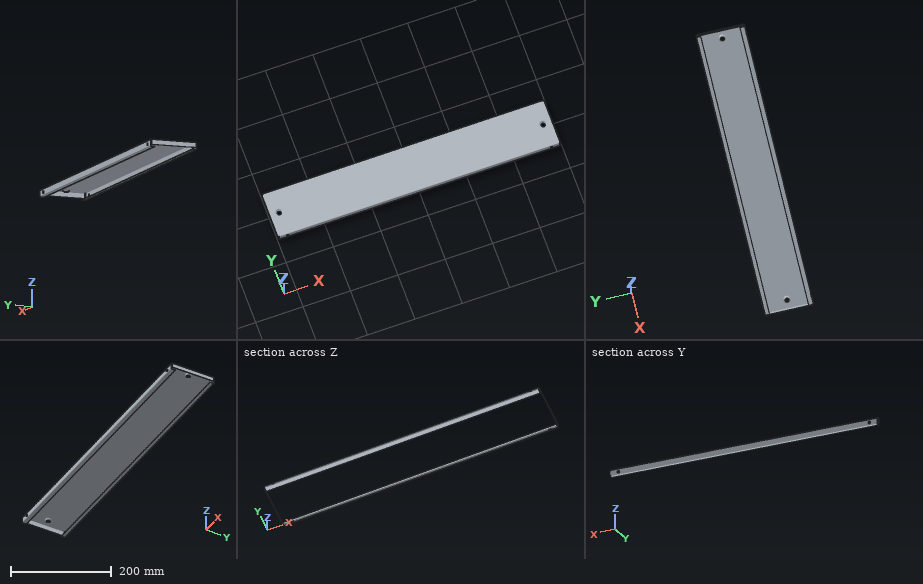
import cadquery as cq
import math

LENGTH = 596.0
WIDTH = 99.0
HEIGHT = 15.0

SHEET = 1.0
BEND_INSIDE = 0.5
BEND_OUTSIDE = BEND_INSIDE + SHEET
LIP_LENGTH = 9.5
END_FLANGE_HEIGHT = 11.0

CORNER_RELIEF = 0.5
SIDE_WALL_LENGTH = LENGTH - 2 * (BEND_OUTSIDE + CORNER_RELIEF)
END_FLANGE_WIDTH = WIDTH - 2 * (BEND_OUTSIDE + CORNER_RELIEF)

HOLE_INSET = 19.5
SIDE_HOLE_DIAMETER = 5.0
SIDE_HOLE_Z = HEIGHT / 2

DIMPLE_DIAMETER = 16.5
DIMPLE_HOLE_DIAMETER = 7.5
CONE_ANGLE = math.radians(45)
RIM_RADIUS = 2.5

RIM_OUTER_RADIUS = DIMPLE_DIAMETER / 2
RIM_MID_RADIUS = RIM_OUTER_RADIUS - RIM_RADIUS * math.sin(CONE_ANGLE / 2)
RIM_MID_DROP = RIM_RADIUS * (1 - math.cos(CONE_ANGLE / 2))
RIM_INNER_RADIUS = RIM_OUTER_RADIUS - RIM_RADIUS * math.sin(CONE_ANGLE)
RIM_DROP = RIM_RADIUS * (1 - math.cos(CONE_ANGLE))
DIMPLE_DEPTH = RIM_DROP + (RIM_INNER_RADIUS - DIMPLE_HOLE_DIAMETER / 2) * math.tan(CONE_ANGLE)

HOLE_POSITIONS = [side * (LENGTH / 2 - HOLE_INSET) for side in (-1, 1)]


def box_on(bottom, top, length, width):
    """Centred block between two heights."""
    return cq.Workplane("XY").workplane(offset=bottom).rect(length, width).extrude(top - bottom)


def make_channel():
    """Top panel with two side walls and inward return lips, open at both ends."""
    outer = box_on(0, HEIGHT, SIDE_WALL_LENGTH, WIDTH).edges("|X").fillet(BEND_OUTSIDE)
    inner = box_on(SHEET, HEIGHT - SHEET, SIDE_WALL_LENGTH, WIDTH - 2 * SHEET)
    inner = inner.edges("|X").fillet(BEND_INSIDE)
    lip_gap = box_on(0, HEIGHT / 2, SIDE_WALL_LENGTH, WIDTH - 2 * LIP_LENGTH)
    return outer.cut(inner).cut(lip_gap)


def make_end_folds():
    """Top panel strip with a flange folded down at each end."""
    bottom = HEIGHT - END_FLANGE_HEIGHT
    outer = box_on(bottom, HEIGHT, LENGTH, END_FLANGE_WIDTH)
    outer = outer.edges("|Y and >Z").fillet(BEND_OUTSIDE)
    inner = box_on(bottom, HEIGHT - SHEET, LENGTH - 2 * SHEET, END_FLANGE_WIDTH)
    inner = inner.edges("|Y and >Z").fillet(BEND_INSIDE)
    return outer.cut(inner)


def make_dimple_space(x, top_z):
    """Round cone with a rounded-over rim at top_z, its narrow end one dimple depth lower."""
    bottom_z = top_z - DIMPLE_DEPTH
    profile = (
        cq.Workplane("XZ", origin=(x, 0, 0))
        .moveTo(0, top_z)
        .lineTo(RIM_OUTER_RADIUS, top_z)
        .threePointArc((RIM_MID_RADIUS, top_z - RIM_MID_DROP), (RIM_INNER_RADIUS, top_z - RIM_DROP))
        .lineTo(DIMPLE_HOLE_DIAMETER / 2, bottom_z)
        .lineTo(0, bottom_z)
        .close()
    )
    return profile.revolve(360, (0, 0, 0), (0, 1, 0))


def add_dimple(body, x):
    """Press a conical seat with a through hole into the top panel."""
    body = body.union(make_dimple_space(x, HEIGHT - SHEET))
    hole = (
        cq.Workplane("XY", origin=(x, 0, HEIGHT / 2))
        .circle(DIMPLE_HOLE_DIAMETER / 2)
        .extrude(HEIGHT / 2)
    )
    return body.cut(make_dimple_space(x, HEIGHT)).cut(hole)


def drill_side_holes(body):
    """Cross holes through both side walls."""
    drills = (
        cq.Workplane("XZ", origin=(0, WIDTH / 2, SIDE_HOLE_Z))
        .pushPoints([(x, 0) for x in HOLE_POSITIONS])
        .circle(SIDE_HOLE_DIAMETER / 2)
        .extrude(WIDTH)
    )
    return body.cut(drills)


cover = drill_side_holes(make_channel().union(make_end_folds()))
for hole_x in HOLE_POSITIONS:
    cover = add_dimple(cover, hole_x)

result = cover